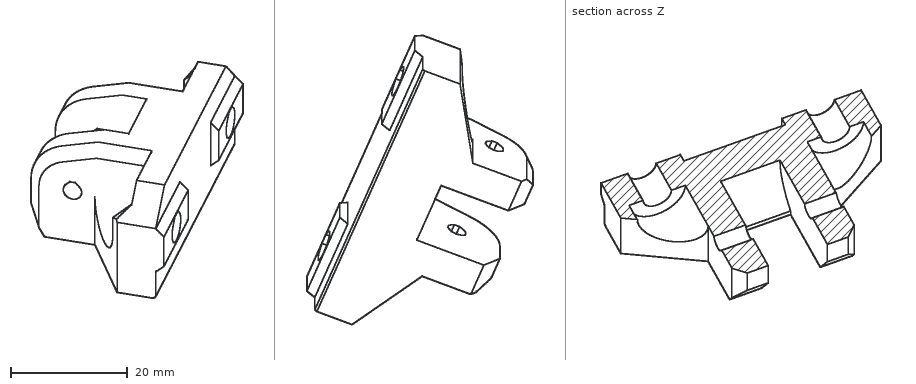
import cadquery as cq
import math


width = 49.0
height = 20.0
half_width = width / 2
mid_height = height / 2
plate_thickness = 5.0
top_corner_chamfer = 5.5
bottom_edge_chamfer = 0.4

tab_depth = 1.45
tab_length = 15.0
tab_root_height = 8.9
tab_tip_height = 6.1

overall_depth = 28.1
reach = overall_depth - tab_depth
ear_thickness = 6.0
slot_width = 11.05
ears_half_width = slot_width / 2 + ear_thickness
ear_chamfer = 2.0
nose_radius = 8.0
pivot_x = nose_radius - reach
pivot_z = 10.4
pivot_hole_diameter = 3.3
ear_top_start_x = -14.6
toe_length = 3.0
toe_angle = 60.0
toe_height = toe_length * math.tan(math.radians(toe_angle))

knuckle_radius = 11.95
slot_top_x = -10.3
slot_bottom_x = -11.15

gusset_side_x = -6.9
gusset_root_x = ear_top_start_x
pocket_width = 10.5
pocket_radius = pocket_width / 2
screw_y = ears_half_width + pocket_radius
screw_hole_diameter = 5.3

roof_rise = 0.2


def extrude_y(sketch, length):
    """Extrude an XZ outline by the given length, centred on Y = 0."""
    return sketch.extrude(length / 2, both=True)


def box_between(x, y, z):
    """Box spanning the given (low, high) pairs."""
    size = [high - low for low, high in (x, y, z)]
    return cq.Workplane("XY").box(*size, centered=False).translate((x[0], y[0], z[0]))


def make_plate_and_gussets():
    """Plate with a tapering gusset outside each ear, top corners cut at 45 degrees."""
    right_side = [
        (0, half_width),
        (gusset_side_x, half_width),
        (gusset_root_x, ears_half_width),
        (-plate_thickness, ears_half_width),
    ]
    left_side = [(x, -y) for x, y in reversed(right_side)]
    body = cq.Workplane("XY").polyline(right_side + left_side).close().extrude(height)

    front_outline = (
        cq.Workplane("YZ")
        .moveTo(-half_width, 0)
        .lineTo(half_width, 0)
        .lineTo(half_width, height - top_corner_chamfer)
        .lineTo(half_width - top_corner_chamfer, height)
        .lineTo(top_corner_chamfer - half_width, height)
        .lineTo(-half_width, height - top_corner_chamfer)
        .close()
        .extrude(reach, both=True)
    )
    body = body.intersect(front_outline)
    return body.faces(">X").edges("<Z").chamfer(bottom_edge_chamfer)


def make_ear_block():
    """Both ears as one chamfered block, before the slot between them is cut."""
    to_corner_x = ear_top_start_x - pivot_x
    to_corner_z = height - pivot_z
    corner_distance = math.hypot(to_corner_x, to_corner_z)
    tangent_angle = math.atan2(to_corner_z, to_corner_x) + math.acos(nose_radius / corner_distance)
    middle_angle = (tangent_angle + math.pi) / 2

    def on_nose(angle):
        return (pivot_x + nose_radius * math.cos(angle), pivot_z + nose_radius * math.sin(angle))

    back_x = ear_chamfer - plate_thickness
    blank = extrude_y(
        cq.Workplane("XZ")
        .moveTo(back_x, -ear_chamfer)
        .lineTo(-reach, -ear_chamfer)
        .lineTo(-reach, pivot_z)
        .threePointArc(on_nose(middle_angle), on_nose(tangent_angle))
        .lineTo(ear_top_start_x, height)
        .lineTo(back_x, height)
        .close(),
        2 * ears_half_width,
    )
    blank = blank.faces("<Y or >Y").chamfer(ear_chamfer)

    side_outline = extrude_y(
        cq.Workplane("XZ")
        .moveTo(-reach, height)
        .lineTo(-reach, toe_height)
        .lineTo(toe_length - reach, 0)
        .lineTo(back_x, 0)
        .lineTo(back_x, height)
        .close(),
        width,
    )
    return blank.intersect(side_outline)


def make_slot():
    """Round knuckle clearance with a flat wall at its top and bottom ends."""
    knuckle = extrude_y(
        cq.Workplane("XZ").center(pivot_x, pivot_z).circle(knuckle_radius), slot_width
    )
    slot_y = (-slot_width / 2, slot_width / 2)
    upper = box_between((-reach, slot_top_x), slot_y, (pivot_z, height))
    lower = box_between((-reach, slot_bottom_x), slot_y, (0, pivot_z))
    return knuckle.union(upper).union(lower)


def make_pocket(y):
    """Round-bottomed screw pocket, open toward -X and +Z."""
    round_bottom = (
        cq.Workplane("YZ", origin=(-plate_thickness, y, mid_height))
        .circle(pocket_radius)
        .extrude(-reach)
    )
    open_top = box_between(
        (-plate_thickness - reach, -plate_thickness),
        (y - pocket_radius, y + pocket_radius),
        (mid_height, height),
    )
    return round_bottom.union(open_top)


def make_rim_relief():
    """Wedge that slopes the top of both outer pocket walls at 45 degrees, falling toward -X."""
    pocket_outer_y = screw_y + pocket_radius
    wall_top_z = height - (pocket_outer_y - (half_width - top_corner_chamfer))
    drop = wall_top_z - mid_height
    return extrude_y(
        cq.Workplane("XZ")
        .moveTo(-plate_thickness, wall_top_z)
        .lineTo(-plate_thickness - drop, wall_top_z)
        .lineTo(-plate_thickness - drop, mid_height)
        .close(),
        width,
    )


def draw_roofed_hole(plane, diameter):
    """Outline of a round hole with a clipped teardrop roof, centred on the plane's origin."""
    radius = diameter / 2
    tangent = radius * math.sqrt(0.5)
    roof_height = radius + roof_rise
    roof_half_width = radius * math.sqrt(2) - roof_height
    return (
        plane.moveTo(-tangent, tangent)
        .threePointArc((0, -radius), (tangent, tangent))
        .lineTo(roof_half_width, roof_height)
        .lineTo(-roof_half_width, roof_height)
        .close()
    )


def make_pivot_hole():
    plane = cq.Workplane("XZ", origin=(pivot_x, 0, pivot_z))
    return extrude_y(draw_roofed_hole(plane, pivot_hole_diameter), width)


def make_screw_hole(y):
    plane = cq.Workplane("YZ", origin=(0, y, mid_height))
    return draw_roofed_hole(plane, screw_hole_diameter).extrude(reach, both=True)


def make_tab(y):
    """Tab with sloped upper and lower sides, centred on the given Y."""
    tab = extrude_y(
        cq.Workplane("XZ")
        .moveTo(0, mid_height - tab_root_height / 2)
        .lineTo(tab_depth, mid_height - tab_tip_height / 2)
        .lineTo(tab_depth, mid_height + tab_tip_height / 2)
        .lineTo(0, mid_height + tab_root_height / 2)
        .close(),
        tab_length,
    )
    return tab.translate((0, y, 0))


bracket = make_plate_and_gussets().cut(make_rim_relief())
for side in (-1, 1):
    bracket = bracket.cut(make_pocket(side * screw_y))
    bracket = bracket.union(make_tab(side * (half_width - tab_length / 2)))

bracket = bracket.union(make_ear_block())
bracket = bracket.cut(make_slot()).cut(make_pivot_hole())
for side in (-1, 1):
    bracket = bracket.cut(make_screw_hole(side * screw_y))

result = bracket